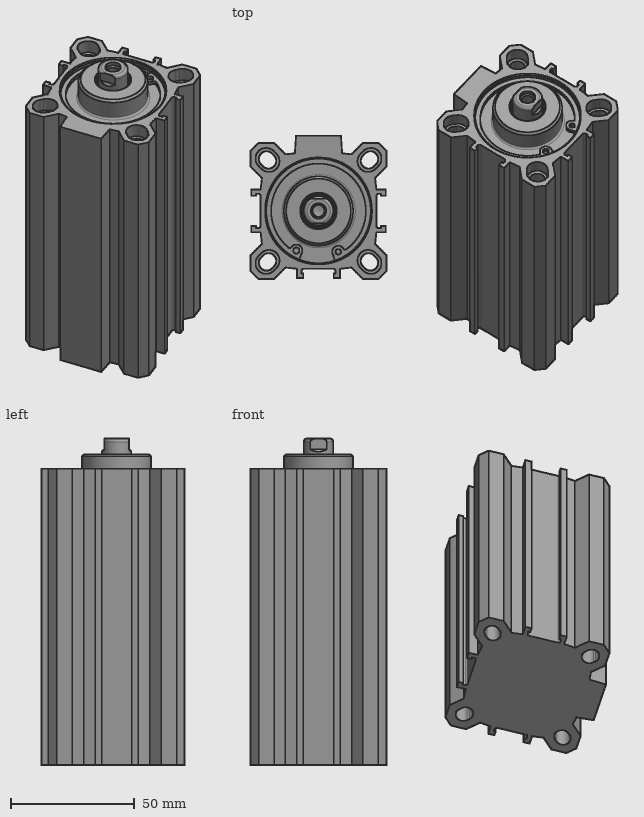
import cadquery as cq
import math

total_height = 132.0
housing_height = 119.9
collar_rise = 5.8

body_width = 55.0
half_width = body_width / 2
corner_chamfer = 3.3
lobe_inner = 18.0
wall_outer = 13.3
wall_distance = half_width - (lobe_inner - wall_outer)
wall_crown = 0.5

rail_outer = 8.7
rail_inner = 6.1
rail_reach = 27.2
rail_lip = 2.0
rail_notch = 0.8

body_depth = 58.0
block_reach = body_depth - half_width
block_base_half = 9.6
block_end_half = 9.1

hole_position = 20.6
through_width = 6.2
through_stretch = 1.0
counterbore_width = 8.6
counterbore_stretch = 1.6
counterbore_depth = 5.8

bore_diameter = 42.2
bore_chamfer = 0.5
groove_diameter = 44.7
cover_thickness = 13.2
cover_recess = 3.3
cover_top = housing_height - cover_recess
cover_bottom = cover_top - cover_thickness

collar_diameter = 28.0
collar_top = housing_height + collar_rise
collar_chamfer = 0.9
collar_fillet = 0.8
rod_bore_diameter = 12.5
wiper_diameter = 13.7
wiper_depth = 2.0
wiper_chamfer = 0.5

ring_thickness = 1.5
ring_inner_diameter = 38.3
lug_diameter = 4.9
lug_radius = 18.3
lug_angle = 27.5
lug_hole_diameters = (2.5, 2.2)
lug_fillet = 0.8
ring_turn = -1.7

rod_diameter = 12.0
rod_fillet = 1.3
flat_width = 10.0
flat_height = 4.4
socket_diameter = 6.2
socket_depth = 1.6
rod_hole_diameter = 4.9
rod_hole_depth = 15.8
drill_half_angle = 80.0


def disc(diameter, bottom, top):
    return cq.Workplane("XY").workplane(offset=bottom).circle(diameter / 2).extrude(top - bottom)


def cone(bottom_diameter, top_diameter, bottom, top):
    height = top - bottom
    base = cq.Vector(0, 0, bottom)
    return cq.Workplane(cq.Solid.makeCone(bottom_diameter / 2, top_diameter / 2, height, base))


def turned_point(x, y, angle):
    turn = math.radians(angle)
    return (x * math.cos(turn) - y * math.sin(turn), x * math.sin(turn) + y * math.cos(turn))


def make_core():
    half_side = [
        (rail_outer, wall_distance + wall_crown),
        (wall_outer, wall_distance),
        (lobe_inner, half_width),
        (half_width - corner_chamfer, half_width),
    ]
    side = half_side[::-1] + [(-x, y) for x, y in half_side]
    outline = [turned_point(x, y, 90 * turn) for turn in range(4) for x, y in side]
    return cq.Workplane("XY").polyline(outline).close().extrude(housing_height)


def make_rail_pair():
    """Two facing L-shaped rails on the +Y side."""
    root = wall_distance
    wall = wall_distance + wall_crown
    lip_back = rail_reach - rail_lip
    rail = (
        cq.Workplane("XY")
        .moveTo(rail_outer, root)
        .lineTo(rail_outer, rail_reach)
        .lineTo(rail_inner, rail_reach)
        .lineTo(rail_inner, lip_back)
        .lineTo(rail_inner + rail_notch, lip_back)
        .lineTo(rail_inner + rail_notch, wall + rail_notch)
        .radiusArc((rail_inner, wall), rail_notch)
        .lineTo(rail_inner, root)
        .close()
        .extrude(housing_height)
    )
    return rail.union(rail.mirror("YZ"))


def make_port_block():
    outline = [
        (-block_base_half, wall_distance),
        (block_base_half, wall_distance),
        (block_end_half, block_reach),
        (-block_end_half, block_reach),
    ]
    return cq.Workplane("XY").polyline(outline).close().extrude(housing_height)


def make_corner_hole(angle):
    """Stepped slot for the corner on the +X +Y diagonal, turned to another corner by angle."""
    through = (
        cq.Workplane("XY")
        .center(hole_position, hole_position)
        .slot2D(through_width + through_stretch, through_width, 45)
        .extrude(housing_height)
    )
    counterbore = (
        cq.Workplane("XY")
        .workplane(offset=housing_height - counterbore_depth)
        .center(hole_position, hole_position)
        .slot2D(counterbore_width + counterbore_stretch, counterbore_width, 45)
        .extrude(counterbore_depth)
    )
    return through.union(counterbore).rotate((0, 0, 0), (0, 0, 1), angle)


def make_housing():
    body = make_core().union(make_port_block())
    rails = make_rail_pair()
    for angle in (90, 180, 270):
        body = body.union(rails.rotate((0, 0, 0), (0, 0, 1), angle))
    for corner in range(4):
        body = body.cut(make_corner_hole(90 * corner))
    bore_mouth = bore_diameter + 2 * bore_chamfer
    body = body.cut(disc(bore_diameter, cover_bottom, housing_height))
    body = body.cut(cone(bore_diameter, bore_mouth, housing_height - bore_chamfer, housing_height))
    return body.cut(disc(groove_diameter, cover_top, cover_top + ring_thickness))


def make_cover():
    flange_radius = bore_diameter / 2
    collar_radius = collar_diameter / 2
    wiper_radius = wiper_diameter / 2
    rod_bore_radius = rod_bore_diameter / 2
    wiper_floor = collar_top - wiper_depth
    fillet_center = (collar_radius + collar_fillet, cover_top + collar_fillet)
    fillet_inset = collar_fillet * math.sqrt(0.5)
    half_section = (
        cq.Workplane("XZ")
        .moveTo(rod_bore_radius, cover_bottom)
        .lineTo(flange_radius, cover_bottom)
        .lineTo(flange_radius, cover_top)
        .lineTo(collar_radius + collar_fillet, cover_top)
        .threePointArc(
            (fillet_center[0] - fillet_inset, fillet_center[1] - fillet_inset),
            (collar_radius, cover_top + collar_fillet),
        )
        .lineTo(collar_radius, collar_top - collar_chamfer)
        .lineTo(collar_radius - collar_chamfer, collar_top)
        .lineTo(wiper_radius + wiper_chamfer, collar_top)
        .lineTo(wiper_radius, collar_top - wiper_chamfer)
        .lineTo(wiper_radius, wiper_floor)
        .lineTo(rod_bore_radius, wiper_floor)
        .close()
    )
    return half_section.revolve(360, (0, 0, 0), (0, 1, 0))


def make_retaining_ring():
    ring_top = cover_top + ring_thickness
    ring = disc(groove_diameter, cover_top, ring_top).cut(disc(ring_inner_diameter, cover_top, ring_top))

    gap_angle = lug_angle - math.degrees(math.asin(lug_diameter / 2 / lug_radius))
    gap_sides = [turned_point(0, -bore_diameter, side * gap_angle) for side in (-1, 1)]
    gap = (
        cq.Workplane("XY")
        .workplane(offset=cover_top)
        .polyline([(0, 0), *gap_sides])
        .close()
        .extrude(ring_thickness)
    )
    lug_centers = [turned_point(0, -lug_radius, side * lug_angle) for side in (-1, 1)]
    ring = ring.cut(gap)
    for x, y in lug_centers:
        ring = ring.union(disc(lug_diameter, cover_top, ring_top).translate((x, y, 0)))

    inner_radius = ring_inner_diameter / 2
    reach = (inner_radius**2 + lug_radius**2 - (lug_diameter / 2) ** 2) / (2 * inner_radius * lug_radius)
    corner_angle = lug_angle + math.degrees(math.acos(reach))
    for side in (-1, 1):
        x, y = turned_point(0, -inner_radius, side * corner_angle)
        corner = cq.selectors.NearestToPointSelector((x, y, cover_top + ring_thickness / 2))
        ring = ring.edges("|Z").edges(corner).fillet(lug_fillet)

    for (x, y), diameter in zip(lug_centers, lug_hole_diameters):
        ring = ring.cut(disc(diameter, cover_top, ring_top).translate((x, y, 0)))
    return ring.rotate((0, 0, 0), (0, 0, 1), ring_turn)


def make_flat_cutter():
    """Everything beyond the +Y wrench flat, with a 45 degree run-out at its foot."""
    flat = flat_width / 2
    run_out = rod_diameter / 2 - flat
    foot = total_height - flat_height
    outline = [
        (flat, total_height),
        (flat, foot),
        (flat + run_out, foot - run_out),
        (flat + run_out, total_height),
    ]
    return cq.Workplane("YZ").polyline(outline).close().extrude(rod_diameter, both=True)


def make_rod():
    rod = disc(rod_diameter, cover_bottom, total_height).faces(">Z").edges().fillet(rod_fillet)
    cutter = make_flat_cutter()
    rod = rod.cut(cutter).cut(cutter.mirror("XZ"))

    socket_floor = total_height - socket_depth
    ledge = (socket_diameter - rod_hole_diameter) / 2
    hole_floor = total_height - rod_hole_depth
    tip_height = rod_hole_diameter / 2 / math.tan(math.radians(drill_half_angle))
    rod = rod.cut(disc(socket_diameter, socket_floor, total_height))
    rod = rod.cut(cone(rod_hole_diameter, socket_diameter, socket_floor - ledge, socket_floor))
    rod = rod.cut(disc(rod_hole_diameter, hole_floor, socket_floor))
    return rod.cut(cone(0, rod_hole_diameter, hole_floor - tip_height, hole_floor))


housing = make_housing()
cover = make_cover()
retaining_ring = make_retaining_ring()
piston_rod = make_rod()

result = cq.Compound.makeCompound([housing.val(), cover.val(), retaining_ring.val(), piston_rod.val()])